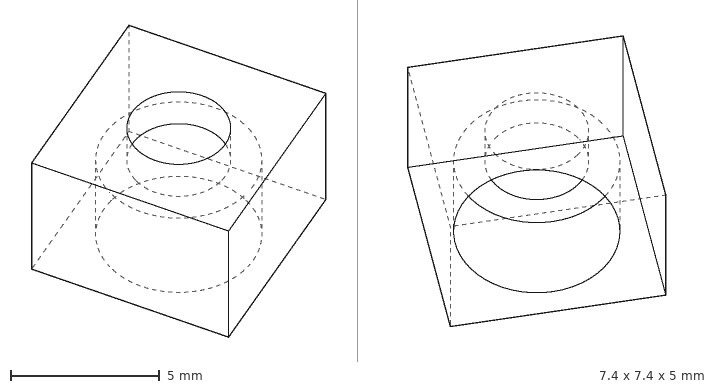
import cadquery as cq

side = 7.4
height = 5.0

opening_diameter = 3.5
recess_diameter = 5.6
top_wall_thickness = 1.5
recess_depth = height - top_wall_thickness

block = cq.Workplane("XY").box(side, side, height, centered=(True, True, False))
opening = cq.Workplane("XY").circle(opening_diameter / 2).extrude(height)
recess = cq.Workplane("XY").circle(recess_diameter / 2).extrude(recess_depth)

result = block.cut(opening).cut(recess)